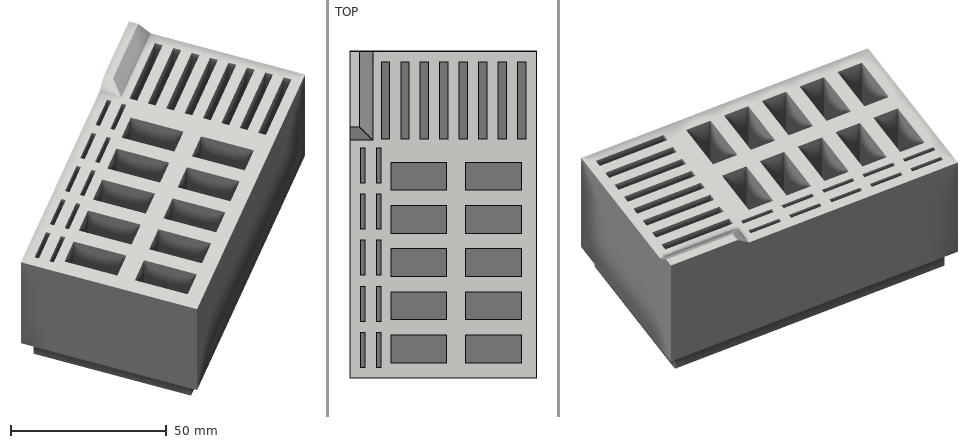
import cadquery as cq

block_width = 60.0
block_length = 105.0
block_height = 40.0
left = -block_width / 2
right = block_width / 2
front = -block_length / 2
back = block_length / 2

plinth_inset = 3.2
plinth_height = 7.5

rail_width = 7.4
rail_length = 28.6
rail_height = 3.0
rail_slope_run = 4.2

edge_margin = 3.5

long_slot_count = 8
long_slot_width = 2.6
long_slot_length = 24.8
long_slot_row_width = 46.4
long_slot_pitch = (long_slot_row_width - long_slot_width) / (long_slot_count - 1)

short_slot_columns = 2
short_slot_rows = 5
short_slot_width = 1.5
short_slot_length = 11.2
short_slot_column_pitch = 5.0
short_slot_row_pitch = 14.8

pocket_columns = 2
pocket_rows = 5
pocket_width = 18.0
pocket_length = 8.9
pocket_column_pitch = 23.9
pocket_row_pitch = 13.9
pocket_margin = 4.9


def corner_box(x, y, z, width, length, height):
    """Box with its left, front, lower corner at (x, y, z)."""
    return cq.Workplane("XY").box(width, length, height, centered=False).translate((x, y, z))


def make_rail():
    """Rail with vertical left and back faces and sloping right and front faces."""
    back_left = (left, back, block_height)
    top_width = rail_width - rail_slope_run
    top_length = rail_length - rail_slope_run
    front_sloped_bar = (
        cq.Workplane("YZ", origin=back_left)
        .polyline([(0, 0), (-rail_length, 0), (-top_length, rail_height), (0, rail_height)])
        .close()
        .extrude(rail_width)
    )
    right_sloped_bar = (
        cq.Workplane("XZ", origin=back_left)
        .polyline([(0, 0), (rail_width, 0), (top_width, rail_height), (0, rail_height)])
        .close()
        .extrude(rail_length)
    )
    return front_sloped_bar.intersect(right_sloped_bar)


def opening_grid(x, y, width, length, columns, rows, column_pitch, row_pitch):
    """Equal rectangular openings, the first with its left, front corner at (x, y)."""
    openings = cq.Workplane("XY")
    for column in range(columns):
        for row in range(rows):
            opening_x = x + column * column_pitch
            opening_y = y + row * row_pitch
            openings = openings.add(corner_box(opening_x, opening_y, 0, width, length, block_height))
    return openings.combine()


def make_long_slots():
    x = right - edge_margin - long_slot_row_width
    y = back - edge_margin - long_slot_length
    return opening_grid(x, y, long_slot_width, long_slot_length, long_slot_count, 1, long_slot_pitch, 0)


def make_short_slots():
    return opening_grid(
        left + edge_margin,
        front + edge_margin,
        short_slot_width,
        short_slot_length,
        short_slot_columns,
        short_slot_rows,
        short_slot_column_pitch,
        short_slot_row_pitch,
    )


def make_pockets():
    grid_width = (pocket_columns - 1) * pocket_column_pitch + pocket_width
    return opening_grid(
        right - pocket_margin - grid_width,
        front + pocket_margin,
        pocket_width,
        pocket_length,
        pocket_columns,
        pocket_rows,
        pocket_column_pitch,
        pocket_row_pitch,
    )


block = corner_box(left, front, 0, block_width, block_length, block_height)
plinth = corner_box(
    left + plinth_inset,
    front + plinth_inset,
    -plinth_height,
    block_width - 2 * plinth_inset,
    block_length - 2 * plinth_inset,
    plinth_height,
)

result = block.union(make_rail())
for openings in (make_long_slots(), make_short_slots(), make_pockets()):
    result = result.cut(openings)
result = result.union(plinth)